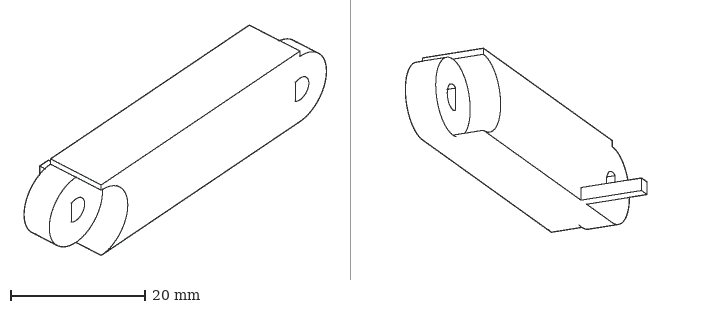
import cadquery as cq

total_length = 57.0
total_width = 20.0
total_height = 13.0
body_width = 10.05
knuckle_diameter = 12.0
hole_radius = 2.0
hole_flat_offset = 0.95
pin_size = 2.0
pin_center_y = -12.55

knuckle_radius = knuckle_diameter / 2
knuckle_width = body_width / 2
pivot_y = total_length / 2 - knuckle_radius
pivot_z = knuckle_radius
pin_length = total_width - body_width


def pivot_cylinder(radius, x_start, width, y):
    """Cylinder along X around the pivot axis at the given y."""
    return (
        cq.Workplane("YZ", origin=(x_start, y, pivot_z))
        .circle(radius)
        .extrude(width)
    )


def pivot_hole(y):
    """D-shaped through hole with its flat on the -Y side."""
    bore = pivot_cylinder(hole_radius, 0, body_width, y)
    keep = cq.Workplane("XY").box(
        body_width, 2 * hole_radius, 2 * hole_radius, centered=(False, False, True)
    ).translate((0, y - hole_flat_offset, pivot_z))
    return bore.intersect(keep)


result = cq.Workplane("XY").box(
    body_width, 2 * pivot_y, total_height, centered=(False, True, False)
)

for end_y, knuckle_x, hollow_x in (
    (-pivot_y, 0, knuckle_width),
    (pivot_y, knuckle_width, 0),
):
    result = result.cut(pivot_cylinder(knuckle_radius, hollow_x, knuckle_width, end_y))
    result = result.union(pivot_cylinder(knuckle_radius, knuckle_x, knuckle_width, end_y))
    result = result.cut(pivot_hole(end_y))

pin = cq.Workplane("XY").box(
    pin_length, pin_size, pin_size, centered=(False, True, False)
).translate((-pin_length, pin_center_y, 0))
result = result.union(pin)